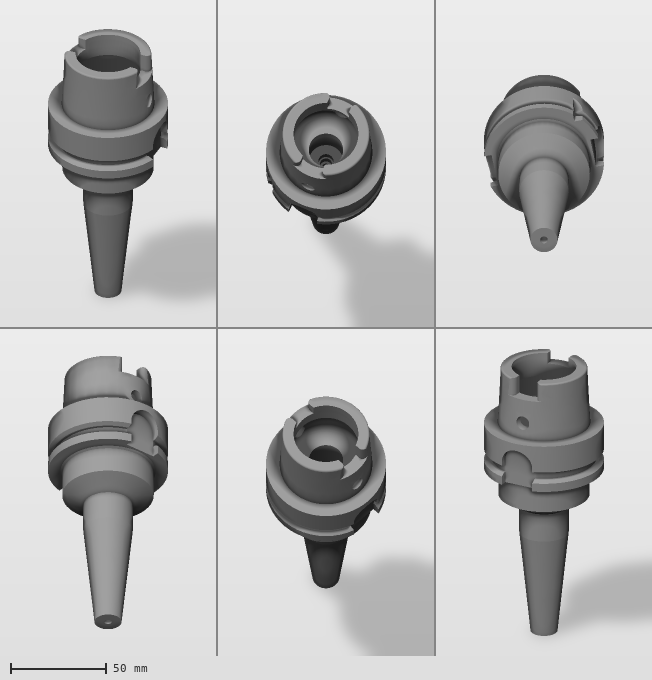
import cadquery as cq
import math


SHANK_LENGTH = 32.0
SHANK_BASE_RADIUS = 24.35
SHANK_TAPER = 0.05
RIM_ROUND = 1.0

FLANGE_RADIUS = 31.5
FLANGE_THICKNESS = 26.0
GROOVE_CENTRE_Z = -18.13
GROOVE_FLOOR_RADIUS = 27.75
GROOVE_FLOOR_WIDTH = 3.75
GROOVE_FLANK_DEPTH = 2.3
GROOVE_FLANK_ANGLE = 30.0

COLLAR_RADIUS = 24.0
COLLAR_FLARE = 1.0
COLLAR_BOTTOM_Z = -41.0
NECK_RADIUS = 13.0
SHOULDER_ANGLE = 30.0
NECK_BOTTOM_Z = -63.0
TIP_RADIUS = 7.1
TIP_Z = -120.0

MOUTH_RADIUS = 17.0
MOUTH_DEPTH = 13.0
CAVITY_RADIUS = 19.9
CAVITY_FLOOR_ROUND = 2.8
CAVITY_FLOOR_Z = 4.0
THREAD_RADIUS = 9.0
THREAD_DEPTH = 20.0
UPPER_STEP_RADIUS = 4.0
LOWER_STEP_RADIUS = 3.2
STEP_DEPTH = 5.0
TOOL_BORE_RADIUS = 2.0

KEYWAY_WIDTH = 12.54
KEYWAY_ROUND = 2.5
KEYWAY_RELIEF_X = 20.9
SHALLOW_KEYWAY_DEPTH = 6.0
DEEP_KEYWAY_DEPTH = 10.0

CROSS_HOLE_RADIUS = 3.75
CROSS_HOLE_Z = 8.9

SLOT_WIDTH = 16.0
WIDE_SLOT_WIDTH = 18.0
SLOT_ARCH_Z = -13.0
SLOT_FLOOR_X = 26.3
CORNER_NOTCH_CENTRE_Y = 28.0
CORNER_NOTCH_FLOOR_X = 20.1


def make_body():
    """Turned outline of the whole holder, without any bore."""
    flank_height = GROOVE_FLANK_DEPTH * math.tan(math.radians(GROOVE_FLANK_ANGLE))
    groove_top = GROOVE_CENTRE_Z + GROOVE_FLOOR_WIDTH / 2
    groove_bottom = GROOVE_CENTRE_Z - GROOVE_FLOOR_WIDTH / 2
    groove_lip_radius = FLANGE_RADIUS - GROOVE_FLANK_DEPTH
    shoulder_height = (COLLAR_RADIUS - NECK_RADIUS) * math.tan(math.radians(SHOULDER_ANGLE))
    rim_radius = SHANK_BASE_RADIUS - SHANK_TAPER * SHANK_LENGTH
    outline = [
        (0, SHANK_LENGTH),
        (rim_radius, SHANK_LENGTH),
        (SHANK_BASE_RADIUS, 0),
        (FLANGE_RADIUS, 0),
        (FLANGE_RADIUS, groove_top + flank_height),
        (groove_lip_radius, groove_top),
        (GROOVE_FLOOR_RADIUS, groove_top),
        (GROOVE_FLOOR_RADIUS, groove_bottom),
        (groove_lip_radius, groove_bottom),
        (FLANGE_RADIUS, groove_bottom - flank_height),
        (FLANGE_RADIUS, -FLANGE_THICKNESS),
        (COLLAR_RADIUS + COLLAR_FLARE, -FLANGE_THICKNESS),
        (COLLAR_RADIUS, -FLANGE_THICKNESS - COLLAR_FLARE),
        (COLLAR_RADIUS, COLLAR_BOTTOM_Z),
        (NECK_RADIUS, COLLAR_BOTTOM_Z - shoulder_height),
        (NECK_RADIUS, NECK_BOTTOM_Z),
        (TIP_RADIUS, TIP_Z),
        (0, TIP_Z),
    ]
    body = cq.Workplane("XZ").polyline(outline).close().revolve(360, (0, 0, 0), (0, 1, 0))
    return body.faces(">Z").edges().fillet(RIM_ROUND)


def make_bores():
    """Mouth, undercut cavity, thread bore, two steps and through bore as one tool."""
    mouth_bottom = SHANK_LENGTH - MOUTH_DEPTH
    round_centre_r = CAVITY_RADIUS - CAVITY_FLOOR_ROUND
    round_centre_z = CAVITY_FLOOR_Z + CAVITY_FLOOR_ROUND
    bend = CAVITY_FLOOR_ROUND * math.sqrt(0.5)
    thread_bottom = CAVITY_FLOOR_Z - THREAD_DEPTH
    upper_step_bottom = thread_bottom - STEP_DEPTH
    lower_step_bottom = upper_step_bottom - STEP_DEPTH
    return (
        cq.Workplane("XZ")
        .moveTo(0, SHANK_LENGTH)
        .lineTo(MOUTH_RADIUS, SHANK_LENGTH)
        .lineTo(MOUTH_RADIUS, mouth_bottom)
        .lineTo(CAVITY_RADIUS, mouth_bottom)
        .lineTo(CAVITY_RADIUS, round_centre_z)
        .threePointArc(
            (round_centre_r + bend, round_centre_z - bend),
            (round_centre_r, CAVITY_FLOOR_Z),
        )
        .lineTo(THREAD_RADIUS, CAVITY_FLOOR_Z)
        .lineTo(THREAD_RADIUS, thread_bottom)
        .lineTo(UPPER_STEP_RADIUS, thread_bottom)
        .lineTo(UPPER_STEP_RADIUS, upper_step_bottom)
        .lineTo(LOWER_STEP_RADIUS, upper_step_bottom)
        .lineTo(LOWER_STEP_RADIUS, lower_step_bottom)
        .lineTo(TOOL_BORE_RADIUS, lower_step_bottom)
        .lineTo(TOOL_BORE_RADIUS, TIP_Z)
        .lineTo(0, TIP_Z)
        .close()
        .revolve(360, (0, 0, 0), (0, 1, 0))
    )


def make_keyway(side, depth):
    """Rim keyway tool on the side (-1 or +1) of X, rounding into a flat relief at its mouth."""
    half_width = KEYWAY_WIDTH / 2
    round_start_x = KEYWAY_RELIEF_X - KEYWAY_ROUND
    round_end_y = half_width + KEYWAY_ROUND
    bend_x = round_start_x + KEYWAY_ROUND * math.sqrt(0.5)
    bend_y = round_end_y - KEYWAY_ROUND * math.sqrt(0.5)
    relief_limit = SHANK_BASE_RADIUS
    keyway = (
        cq.Workplane("XY", origin=(0, 0, SHANK_LENGTH - depth))
        .moveTo(0, -half_width)
        .lineTo(round_start_x, -half_width)
        .threePointArc((bend_x, -bend_y), (KEYWAY_RELIEF_X, -round_end_y))
        .lineTo(KEYWAY_RELIEF_X, -relief_limit)
        .lineTo(relief_limit, -relief_limit)
        .lineTo(relief_limit, relief_limit)
        .lineTo(KEYWAY_RELIEF_X, relief_limit)
        .lineTo(KEYWAY_RELIEF_X, round_end_y)
        .threePointArc((bend_x, bend_y), (round_start_x, half_width))
        .lineTo(0, half_width)
        .close()
        .extrude(depth)
    )
    return keyway if side > 0 else keyway.mirror("YZ")


def make_arched_slot(side, floor_x, centre_y, width):
    """Round-topped slot tool, open downwards and outwards, with a flat floor at floor_x."""
    radius = width / 2
    bottom = -FLANGE_THICKNESS
    return (
        cq.Workplane("YZ", origin=(side * floor_x, 0, 0))
        .moveTo(centre_y - radius, bottom)
        .lineTo(centre_y - radius, SLOT_ARCH_Z)
        .threePointArc((centre_y, SLOT_ARCH_Z + radius), (centre_y + radius, SLOT_ARCH_Z))
        .lineTo(centre_y + radius, bottom)
        .close()
        .extrude(side * FLANGE_RADIUS)
    )


def make_cross_hole():
    """Radial hole through both walls of the shank along X."""
    return (
        cq.Workplane("YZ", origin=(-FLANGE_RADIUS, 0, CROSS_HOLE_Z))
        .circle(CROSS_HOLE_RADIUS)
        .extrude(2 * FLANGE_RADIUS)
    )


result = make_body().cut(make_bores())
result = result.cut(make_keyway(-1, SHALLOW_KEYWAY_DEPTH))
result = result.cut(make_keyway(1, DEEP_KEYWAY_DEPTH))
result = result.cut(make_cross_hole())
result = result.cut(make_arched_slot(-1, SLOT_FLOOR_X, 0, SLOT_WIDTH))
result = result.cut(make_arched_slot(1, SLOT_FLOOR_X, 0, WIDE_SLOT_WIDTH))
result = result.cut(make_arched_slot(-1, CORNER_NOTCH_FLOOR_X, CORNER_NOTCH_CENTRE_Y, SLOT_WIDTH))